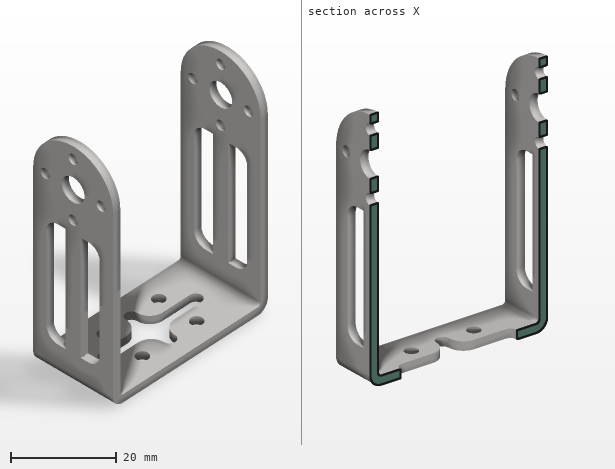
import cadquery as cq

width = 21.03
depth = 42.7
height = 57.75

thickness = 2.0
inner_bend_radius = 0.74
outer_bend_radius = inner_bend_radius + thickness

arm_radius = width / 2
pivot_z = height - arm_radius
pivot_hole_diameter = 6.0
horn_hole_diameter = 2.45
horn_hole_offset = 7.35

window_bottom_z = 7.75
window_height = 29.0
windows_span = 14.0
rib_width = 4.0
window_corner_radius = 3.0

mount_hole_diameter = 3.0
mount_hole_x = 5.0
mount_hole_y = 7.5
cross_slot_width = 3.0
cross_length_x = 2 * mount_hole_x + cross_slot_width
cross_length_y = 28.0
cross_fillet_radius = mount_hole_x - cross_slot_width / 2


def bent_sheet():
    """U-shaped channel, open at the top, with rounded bends at the base."""
    outer = (
        cq.Workplane("XY")
        .box(width, depth, height, centered=(True, True, False))
        .edges("|X and <Z")
        .fillet(outer_bend_radius)
    )
    inner = (
        cq.Workplane("XY")
        .workplane(offset=thickness)
        .box(width, depth - 2 * thickness, height, centered=(True, True, False))
        .edges("|X and <Z")
        .fillet(inner_bend_radius)
    )
    return outer.cut(inner)


def arm_outline():
    """Solid whose round-topped XZ outline trims both arms."""
    half_width = width / 2
    return (
        cq.Workplane("XZ")
        .moveTo(-half_width, 0)
        .lineTo(half_width, 0)
        .lineTo(half_width, pivot_z)
        .threePointArc((0, height), (-half_width, pivot_z))
        .close()
        .extrude(depth / 2, both=True)
    )


def arm_holes():
    """Pivot hole and the four small holes around it, through both arms."""
    horn_points = [
        (horn_hole_offset, 0),
        (-horn_hole_offset, 0),
        (0, horn_hole_offset),
        (0, -horn_hole_offset),
    ]
    plane = cq.Workplane("XZ", origin=(0, 0, pivot_z))
    pivot = plane.circle(pivot_hole_diameter / 2).extrude(depth, both=True)
    horn = plane.pushPoints(horn_points).circle(horn_hole_diameter / 2).extrude(depth, both=True)
    return pivot.union(horn)


def arm_windows():
    """Rounded rectangle split in two by the rib, through both arms."""
    opening = (
        cq.Workplane("XY", origin=(0, 0, window_bottom_z))
        .box(windows_span, 2 * depth, window_height, centered=(True, True, False))
        .edges("|Y")
        .fillet(window_corner_radius)
    )
    rib = cq.Workplane("XY").box(rib_width, 2 * depth, height, centered=(True, True, False))
    return opening.cut(rib)


def base_holes():
    """Four mounting holes through the base."""
    return (
        cq.Workplane("XY")
        .rect(2 * mount_hole_x, 2 * mount_hole_y, forConstruction=True)
        .vertices()
        .circle(mount_hole_diameter / 2)
        .extrude(thickness)
    )


def base_cross():
    """Two crossing round-ended slots with filleted inside corners."""
    plane = cq.Workplane("XY")
    slot_y = plane.slot2D(cross_length_y, cross_slot_width, 90).extrude(thickness)
    slot_x = plane.slot2D(cross_length_x, cross_slot_width).extrude(thickness)

    corner_bites = (
        plane.rect(2 * mount_hole_x, 2 * mount_hole_x, forConstruction=True)
        .vertices()
        .circle(cross_fillet_radius)
        .extrude(thickness)
    )
    block = plane.rect(2 * mount_hole_x, 2 * mount_hole_x).extrude(thickness)
    return block.cut(corner_bites).union(slot_x).union(slot_y)


result = (
    bent_sheet()
    .intersect(arm_outline())
    .cut(arm_holes())
    .cut(arm_windows())
    .cut(base_holes())
    .cut(base_cross())
)